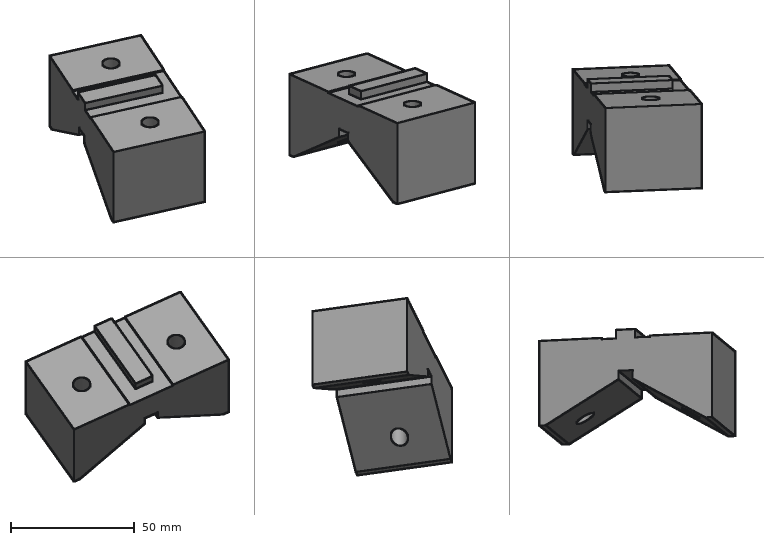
import cadquery as cq
import math

length = 72.0
depth = 39.7
total_height = 38.0
key_rise = 3.0
block_height = total_height - key_rise

foot_width = 2.7
relief_width = 6.0
relief_top = 21.0
v_slope_angle = 30.0

channel_width = 20.15
channel_depth = 0.5
key_width = 8.0
key_back_gap = 6.0

hole_diameter = 7.0
hole_spacing = 44.0
hole_from_front = 21.25


def make_block():
    """Block with the V and its apex relief cut along the full depth."""
    half_length = length / 2
    v_half_width = half_length - foot_width
    relief_half = relief_width / 2
    v_top = (v_half_width - relief_half) * math.tan(math.radians(v_slope_angle))
    half_profile = [
        (0, block_height),
        (half_length, block_height),
        (half_length, 0),
        (v_half_width, 0),
        (relief_half, v_top),
        (relief_half, relief_top),
        (0, relief_top),
    ]
    return cq.Workplane("XZ").polyline(half_profile).mirrorY().extrude(-depth)


def make_channel():
    """Cutter for the shallow channel running front to back."""
    return (
        cq.Workplane("XY")
        .workplane(offset=block_height - channel_depth)
        .center(0, depth / 2)
        .rect(channel_width, depth)
        .extrude(channel_depth)
    )


def make_key():
    """Key standing on the channel floor, flush with the front face."""
    key_length = depth - key_back_gap
    return (
        cq.Workplane("XY")
        .workplane(offset=block_height - channel_depth)
        .center(0, key_length / 2)
        .rect(key_width, key_length)
        .extrude(channel_depth + key_rise)
    )


def make_holes():
    """Cutters for the pair of vertical through holes."""
    return (
        cq.Workplane("XY")
        .center(0, hole_from_front)
        .rarray(hole_spacing, 0.7, 2, 1)
        .circle(hole_diameter / 2)
        .extrude(block_height)
    )


result = make_block().cut(make_channel()).union(make_key()).cut(make_holes())